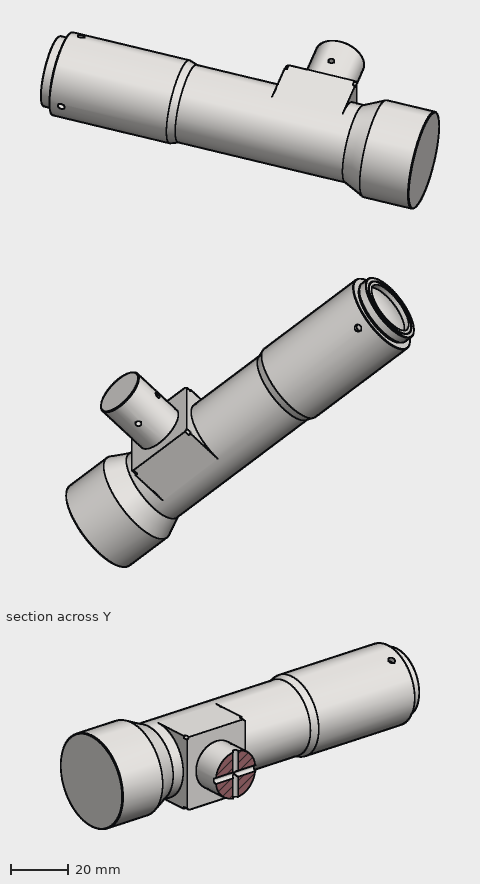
import cadquery as cq
import math


total_length = 137.1
total_width = 54.6

flange_radius = 12.7
flange_end = 3.3
neck_radius = 12.3
grip_radius = 15.0
grip_start = 3.9
grip_end = 47.1
tube_radius = 14.0
tube_start = 50.0
tube_end = 111.6
head_radius = 17.5
head_start = 119.1
edge_chamfer = 0.3
front_chamfer = 0.2

recess_radius = 9.7
recess_depth = 2.0
lens_height = 1.3

groove_inner_radius = 11.0
groove_width = 0.2
groove_depth = 0.1

screw_hole_diameter = 2.5
screw_hole_depth = 2.0
screw_hole_x = 8.4
screw_hole_count = 3

block_length = 26.0
block_height = 2 * tube_radius
block_face_y = 16.2
block_center_x = 94.1
turned_radius = 18.5
turned_depth = 2.0

port_radius = 9.0
port_end_y = total_width - head_radius
pin_hole_diameter = 2.1
pin_hole_setback = 10.0
pin_hole_y = port_end_y - pin_hole_setback


def cylinder_along_y(radius, start_y, end_y):
    """Cylinder on the port axis."""
    plane = cq.Plane(origin=(block_center_x, start_y, 0), xDir=(1, 0, 0), normal=(0, 1, 0))
    return cq.Workplane(plane).circle(radius).extrude(end_y - start_y)


def make_barrel():
    """Revolved body: flange, neck, grip, tube and flared head."""
    profile = [
        (0, 0),
        (0, flange_radius - front_chamfer),
        (front_chamfer, flange_radius),
        (flange_end, flange_radius),
        (flange_end, neck_radius),
        (grip_start, neck_radius),
        (grip_start, grip_radius - front_chamfer),
        (grip_start + front_chamfer, grip_radius),
        (grip_end, grip_radius),
        (tube_start, tube_radius),
        (tube_end, tube_radius),
        (head_start, head_radius),
        (total_length, head_radius),
        (total_length, 0),
    ]
    barrel = cq.Workplane("XY").polyline(profile).close().revolve(360, (0, 0, 0), (1, 0, 0))
    return barrel.faces(">X").edges().chamfer(edge_chamfer)


def make_recess():
    """Cutter for the front recess; its floor leaves the lens dome standing."""
    sphere_radius = (recess_radius**2 + lens_height**2) / (2 * lens_height)
    half_angle = math.asin(recess_radius / sphere_radius) / 2
    apex_x = recess_depth - lens_height
    mid_point = (apex_x + sphere_radius * (1 - math.cos(half_angle)), sphere_radius * math.sin(half_angle))
    return (
        cq.Workplane("XY")
        .lineTo(0, recess_radius)
        .lineTo(recess_depth, recess_radius)
        .threePointArc(mid_point, (apex_x, 0))
        .close()
        .revolve(360, (0, 0, 0), (1, 0, 0))
    )


def make_groove():
    """Cutter for the ring groove around the recess."""
    return (
        cq.Workplane("YZ")
        .circle(groove_inner_radius + groove_width)
        .circle(groove_inner_radius)
        .extrude(groove_depth)
    )


def make_screw_holes():
    """Blind radial holes spaced evenly around the grip, the first on the -Y side."""
    hole = (
        cq.Workplane("XZ", origin=(screw_hole_x, -grip_radius + screw_hole_depth, 0))
        .circle(screw_hole_diameter / 2)
        .extrude(grip_radius)
    )
    holes = cq.Workplane("XY")
    for index in range(screw_hole_count):
        holes = holes.add(hole.rotate((0, 0, 0), (1, 0, 0), index * 360 / screw_hole_count))
    return holes.combine()


def make_block():
    """Rectangular block whose corners are turned round next to its port face."""
    block = cq.Workplane("XY").box(block_length, block_face_y, block_height, centered=(True, False, True))
    block = block.translate((block_center_x, 0, 0))
    turning_start = block_face_y - turned_depth
    turned_slice = cylinder_along_y(turned_radius, turning_start, block_face_y)
    full_slice_radius = math.hypot(block_length, block_height) / 2
    full_slice = cylinder_along_y(full_slice_radius, 0, turning_start)
    return block.intersect(full_slice.union(turned_slice))


def make_port():
    """Round side port with one pin hole along Z and one along X."""
    port = cylinder_along_y(port_radius, 0, port_end_y).faces(">Y").edges().chamfer(edge_chamfer)
    center = cq.Vector(block_center_x, pin_hole_y, 0)
    for direction in (cq.Vector(0, 0, 1), cq.Vector(1, 0, 0)):
        pin_hole = cq.Solid.makeCylinder(
            pin_hole_diameter / 2, 2 * port_radius, center - direction * port_radius, direction
        )
        port = port.cut(cq.Workplane(pin_hole))
    return port


barrel = make_barrel().cut(make_recess()).cut(make_groove()).cut(make_screw_holes())
result = barrel.union(make_block()).union(make_port())